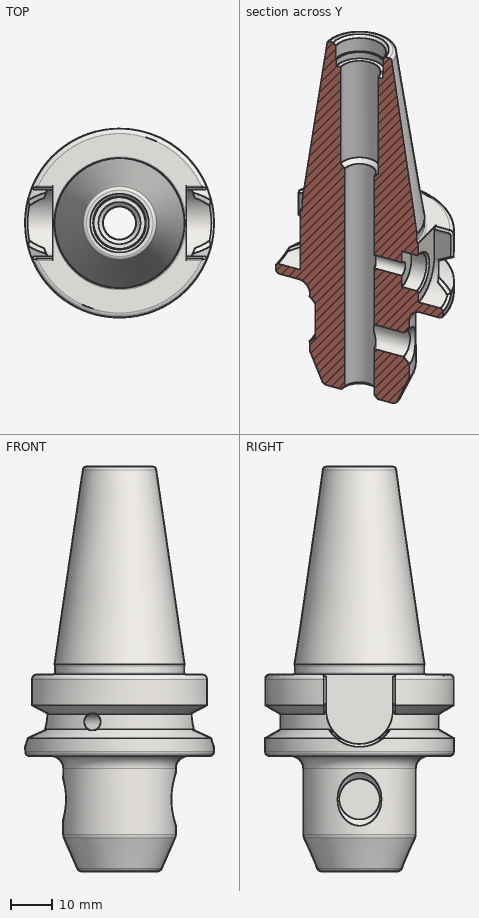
import cadquery as cq
import math

CLEARANCE = 0.1

TOTAL_LENGTH = 98.4
GAUGE_HEIGHT = 50.0
FLANGE_TOP = 47.9
FLANGE_BOTTOM = 28.0
GROOVE_CENTRE = 36.4

GAUGE_DIAMETER = 31.8
TAPER_RATIO = 7 / 24
NECK_DIAMETER = 31.5
NECK_STEP = 0.4
NECK_FILLET = 0.4
TAPER_END_FILLET = 0.9

FLANGE_DIAMETER = 46.0
GROOVE_DIAMETER = 38.6
GROOVE_FLOOR_WIDTH = 3.7
GROOVE_FLANK_ANGLE = 30.0
FLANGE_TOP_FILLET = 1.2
FLANGE_BOTTOM_FILLET = 1.2

NOSE_DIAMETER = 27.5
NOSE_FILLET = 3.0
CONE_HEIGHT = 8.7
CONE_ANGLE = 23.6
CONE_FILLET = 2.0
NOSE_END_FILLET = 1.5

BORE_DIAMETER = 8.0
BORE_MOUTH_DIAMETER = 10.0
THREAD_DIAMETER = 10.2
THREAD_DEPTH = 33.9
SEAT_DIAMETER = 12.5
SEAT_DEPTH = 6.4
ENTRY_DIAMETER = 12.9
ENTRY_DEPTH = 4.4
ENTRY_MOUTH_DIAMETER = 14.3

SLOT_FLOOR_X = 16.2
SLOT_WIDTH = 16.1
SLOT_CENTRE_HEIGHT = 39.1
SLOT_EDGE_CHAMFER = 0.7
SLOT_TOP_FILLET = 1.0

POCKET_DIAMETER = 10.0
POCKET_DEPTH = 4.6
POCKET_CHAMFER = 0.5
PIN_HOLE_DIAMETER = 3.6

GROOVE_HOLE_DIAMETER = 4.2
GROOVE_HOLE_DEPTH = 11.8
GROOVE_HOLE_AZIMUTH = 250.0

SIDE_HOLE_HEIGHT = 17.6
SIDE_HOLE_DIAMETER = 6.8
SIDE_HOLE_MOUTH = 10.0
SCREW_SEAT_DIAMETER = 9.8
SCREW_SEAT_MOUTH = 12.9


def cone(origin, direction, start_diameter, end_diameter):
    """45-degree frustum that starts at origin and narrows along direction."""
    height = (start_diameter - end_diameter) / 2
    return cq.Workplane(
        cq.Solid.makeCone(
            start_diameter / 2, end_diameter / 2, height, cq.Vector(*origin), cq.Vector(*direction)
        )
    )


def cylinder(origin, direction, diameter, length):
    return cq.Workplane(
        cq.Solid.makeCylinder(diameter / 2, length, cq.Vector(*origin), cq.Vector(*direction))
    )


def fillet_circle(body, radius_of_edge, height, fillet_radius):
    """Round the full circular edge about Z found at one radius and height."""
    reach = 0.01
    box = cq.selectors.BoxSelector(
        (-radius_of_edge - reach, -radius_of_edge - reach, height - reach),
        (radius_of_edge + reach, radius_of_edge + reach, height + reach),
        boundingbox=True,
    )
    edges = body.edges("%CIRCLE").edges(box)
    outer = [e for e in edges.vals() if abs(e.radius() - radius_of_edge) < reach]
    return body.newObject(outer).fillet(fillet_radius)


def turned_body():
    flange_radius = FLANGE_DIAMETER / 2
    groove_radius = GROOVE_DIAMETER / 2
    nose_radius = NOSE_DIAMETER / 2
    flank_rise = (flange_radius - groove_radius) * math.tan(math.radians(GROOVE_FLANK_ANGLE))
    floor_top = GROOVE_CENTRE + GROOVE_FLOOR_WIDTH / 2
    floor_bottom = GROOVE_CENTRE - GROOVE_FLOOR_WIDTH / 2
    taper_base = GAUGE_HEIGHT + NECK_STEP
    taper_base_radius = (GAUGE_DIAMETER - NECK_STEP * TAPER_RATIO) / 2
    taper_end_radius = (GAUGE_DIAMETER - (TOTAL_LENGTH - GAUGE_HEIGHT) * TAPER_RATIO) / 2
    cone_end_radius = nose_radius - CONE_HEIGHT * math.tan(math.radians(CONE_ANGLE))
    body = (
        cq.Workplane("XZ")
        .polyline([
            (0, 0),
            (cone_end_radius, 0),
            (nose_radius, CONE_HEIGHT),
            (nose_radius, FLANGE_BOTTOM),
            (flange_radius, FLANGE_BOTTOM),
            (flange_radius, floor_bottom - flank_rise),
            (groove_radius, floor_bottom),
            (groove_radius, floor_top),
            (flange_radius, floor_top + flank_rise),
            (flange_radius, FLANGE_TOP),
            (NECK_DIAMETER / 2, FLANGE_TOP),
            (NECK_DIAMETER / 2, GAUGE_HEIGHT),
            (taper_base_radius, taper_base),
            (taper_end_radius, TOTAL_LENGTH),
            (0, TOTAL_LENGTH),
        ])
        .close()
        .revolve(360, (0, 0, 0), (0, 1, 0))
    )
    rounded_edges = [
        (cone_end_radius, 0, NOSE_END_FILLET),
        (nose_radius, CONE_HEIGHT, CONE_FILLET),
        (nose_radius, FLANGE_BOTTOM, NOSE_FILLET),
        (flange_radius, FLANGE_BOTTOM, FLANGE_BOTTOM_FILLET),
        (flange_radius, FLANGE_TOP, FLANGE_TOP_FILLET),
        (NECK_DIAMETER / 2, FLANGE_TOP, NECK_FILLET),
        (taper_end_radius, TOTAL_LENGTH, TAPER_END_FILLET),
    ]
    for edge_radius, height, fillet_radius in rounded_edges:
        body = fillet_circle(body, edge_radius, height, fillet_radius)
    return body


def slot_cutter(side):
    """Open-topped slot with a round bottom, on the side of X given by +1 or -1."""
    half = SLOT_WIDTH / 2
    rise = TOTAL_LENGTH - SLOT_CENTRE_HEIGHT
    return (
        cq.Workplane("YZ", origin=(side * SLOT_FLOOR_X, 0, SLOT_CENTRE_HEIGHT))
        .moveTo(-half, rise)
        .lineTo(-half, 0)
        .threePointArc((0, -half), (half, 0))
        .lineTo(half, rise)
        .close()
        .extrude(side * FLANGE_DIAMETER / 2)
    )


def chamfer_slot_mouth(body, side):
    """Chamfer the edges where a slot breaks out through the two flange collars."""
    half = SLOT_WIDTH / 2
    height_ranges = (
        (SLOT_CENTRE_HEIGHT - half, GROOVE_CENTRE - GROOVE_FLOOR_WIDTH / 2),
        (SLOT_CENTRE_HEIGHT + CLEARANCE, FLANGE_TOP - CLEARANCE),
    )
    for low, high in height_ranges:
        mouth = cq.selectors.BoxSelector(
            (side * (SLOT_FLOOR_X + CLEARANCE), -half - CLEARANCE, low),
            (side * FLANGE_DIAMETER / 2, half + CLEARANCE, high),
        )
        body = body.edges(mouth).chamfer(SLOT_EDGE_CHAMFER)
    return body


def slot_rounding_cutter(side):
    """Flared prism that rounds the top edges of both slot walls."""
    half = SLOT_WIDTH / 2
    radius = SLOT_TOP_FILLET
    arc_offset = radius * (1 - math.sqrt(0.5))
    return (
        cq.Workplane("YZ", origin=(side * SLOT_FLOOR_X, 0, FLANGE_TOP))
        .moveTo(-half, -radius)
        .threePointArc((-half - arc_offset, -arc_offset), (-half - radius, 0))
        .lineTo(half + radius, 0)
        .threePointArc((half + arc_offset, -arc_offset), (half, -radius))
        .close()
        .extrude(side * FLANGE_DIAMETER / 2)
    )


def bore_cutter():
    """Through bore, stepped wider towards the small end of the taper."""
    up = (0, 0, 1)
    down = (0, 0, -1)
    nose_face = (0, 0, 0)
    taper_face = (0, 0, TOTAL_LENGTH)
    thread_floor = (0, 0, TOTAL_LENGTH - THREAD_DEPTH)
    entry_floor = (0, 0, TOTAL_LENGTH - ENTRY_DEPTH)
    return (
        cylinder(nose_face, up, BORE_DIAMETER, TOTAL_LENGTH)
        .union(cone(nose_face, up, BORE_MOUTH_DIAMETER, BORE_DIAMETER))
        .union(cylinder(taper_face, down, THREAD_DIAMETER, THREAD_DEPTH))
        .union(cone(thread_floor, down, THREAD_DIAMETER, BORE_DIAMETER))
        .union(cylinder(taper_face, down, SEAT_DIAMETER, SEAT_DEPTH))
        .union(cylinder(taper_face, down, ENTRY_DIAMETER, ENTRY_DEPTH))
        .union(cone(entry_floor, down, ENTRY_DIAMETER, SEAT_DIAMETER))
        .union(cone(taper_face, down, ENTRY_MOUTH_DIAMETER, ENTRY_DIAMETER))
    )


def pocket_cutter():
    """Flat-bottomed pocket in the -X slot floor, with a pin hole on to the bore."""
    mouth = (-SLOT_FLOOR_X, 0, SLOT_CENTRE_HEIGHT)
    inward = (1, 0, 0)
    mouth_diameter = POCKET_DIAMETER + 2 * POCKET_CHAMFER
    return (
        cylinder(mouth, inward, POCKET_DIAMETER, POCKET_DEPTH)
        .union(cone(mouth, inward, mouth_diameter, POCKET_DIAMETER))
        .union(cylinder(mouth, inward, PIN_HOLE_DIAMETER, SLOT_FLOOR_X))
    )


def groove_hole_cutter():
    """Blind radial hole in the floor of the gripper groove."""
    azimuth = math.radians(GROOVE_HOLE_AZIMUTH)
    outward = (math.cos(azimuth), math.sin(azimuth), 0)
    start_radius = GROOVE_DIAMETER / 2 - GROOVE_HOLE_DEPTH
    start = (start_radius * outward[0], start_radius * outward[1], GROOVE_CENTRE)
    return cylinder(start, outward, GROOVE_HOLE_DIAMETER, FLANGE_DIAMETER / 2 - start_radius)


def side_hole_cutter():
    """Countersunk hole from the -X side of the nose into the bore."""
    mouth = (-NOSE_DIAMETER / 2, 0, SIDE_HOLE_HEIGHT)
    inward = (1, 0, 0)
    return cylinder(mouth, inward, SIDE_HOLE_DIAMETER, NOSE_DIAMETER / 2).union(
        cone(mouth, inward, SIDE_HOLE_MOUTH, SIDE_HOLE_DIAMETER)
    )


def screw_seat_cutter():
    """Shallow conical recess on the +X side of the nose."""
    mouth = (NOSE_DIAMETER / 2, 0, SIDE_HOLE_HEIGHT)
    return cone(mouth, (-1, 0, 0), SCREW_SEAT_MOUTH, SCREW_SEAT_DIAMETER)


body = turned_body()
for side in (1, -1):
    body = body.cut(slot_cutter(side))
    body = chamfer_slot_mouth(body, side)
    body = body.cut(slot_rounding_cutter(side))
for cutter in (
    bore_cutter(),
    pocket_cutter(),
    groove_hole_cutter(),
    side_hole_cutter(),
    screw_seat_cutter(),
):
    body = body.cut(cutter)

result = body